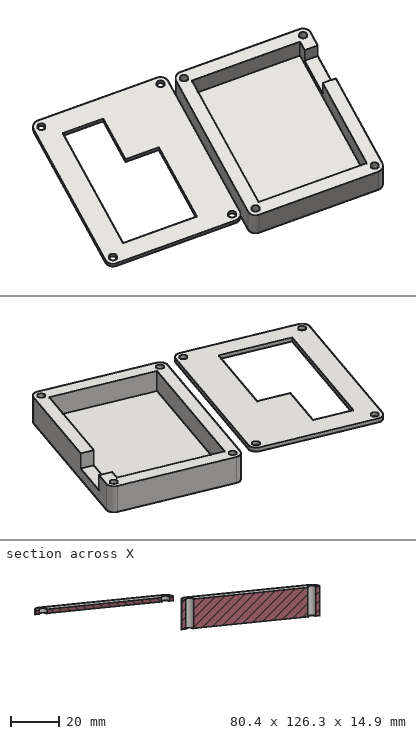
import cadquery as cq

length = 80.4
width = 61.3
corner_radius = 3.5
screw_diameter = 3.4
screw_inset = corner_radius

housing_height = 12.9
wall = 6.0
floor_thickness = 3.0
notch_start = 10.8
notch_length = 18.5
notch_depth = 7.5

lid_thickness = 2.0
gap = 3.7
lid_y = -gap - width

window_left = 10.2
window_right = 72.0
window_front = 10.3
window_back = 43.9
step_x = 33.1
step_y = 28.7


def rounded_plate(height):
    """Rounded rectangle with its front left corner at the origin and a screw hole in each corner."""
    return (
        cq.Workplane("XY")
        .rect(length, width)
        .extrude(height)
        .edges("|Z")
        .fillet(corner_radius)
        .faces(">Z")
        .workplane()
        .rect(length - 2 * screw_inset, width - 2 * screw_inset, forConstruction=True)
        .vertices()
        .hole(screw_diameter)
        .translate((length / 2, width / 2, 0))
    )


def make_housing():
    """Open-topped tray with a notch cut down through the back wall."""
    cavity = cq.Workplane("XY").box(
        length - 2 * wall,
        width - 2 * wall,
        housing_height - floor_thickness,
        centered=False,
    ).translate((wall, wall, floor_thickness))
    notch = cq.Workplane("XY").box(
        notch_length,
        wall,
        notch_depth,
        centered=False,
    ).translate((notch_start, width - wall, housing_height - notch_depth))
    return rounded_plate(housing_height).cut(cavity).cut(notch)


def make_lid():
    """Flat cover with an L-shaped window."""
    window = (
        cq.Workplane("XY")
        .moveTo(window_left, window_front)
        .lineTo(window_right, window_front)
        .lineTo(window_right, window_back)
        .lineTo(step_x, window_back)
        .lineTo(step_x, step_y)
        .lineTo(window_left, step_y)
        .close()
        .extrude(lid_thickness)
    )
    return rounded_plate(lid_thickness).cut(window).translate((0, lid_y, housing_height))


housing = make_housing()
lid = make_lid()

result = cq.Compound.makeCompound([housing.val(), lid.val()])